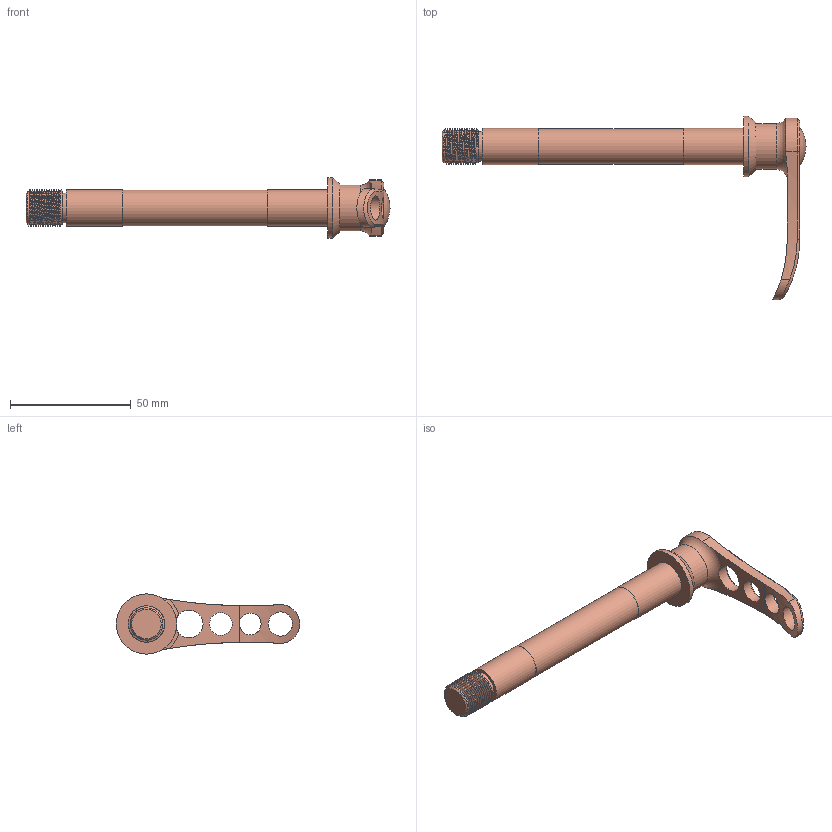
import cadquery as cq
import math


AXLE_R = 7.5
WAIST_R = 7.4
WAIST_START = 40.0
WAIST_END = 100.0

THREAD_PITCH = 1.0
THREAD_DEPTH = 0.8
THREAD_START = 1.1
THREAD_TURNS = 13.5
THREAD_CORE_R = AXLE_R - THREAD_DEPTH
THREAD_CORE_LENGTH = 15.1
CREST_WIDTH = 0.12
ROOT_WIDTH = 0.9
ROOT_OVERLAP = 0.1
END_CHAMFER = 0.6
NECK_R = 6.2
NECK_END = 16.6

FLANGE_R = 12.5
FLANGE_START = 125.0
FLANGE_RIM = 2.0
WASHER_LENGTH = 5.0
WASHER_SMALL_R = 10.0

COLLAR_R = 9.5
COLLAR_START = FLANGE_START + WASHER_LENGTH
HUB_R = 11.65
HUB_FILLET = 4.5
DOME_BASE_R = 8.0

ARM_INNER_X = 143.0
ARM_THICKNESS = 5.15
ARM_OUTER_X = ARM_INNER_X + ARM_THICKNESS
DOME_TOP_X = 150.78
DOME_HEIGHT = DOME_TOP_X - ARM_OUTER_X
ARM_REACH = 63.49
ARM_TIP_R = 8.0
ARM_TIP_Y = ARM_TIP_R - ARM_REACH
WAIST_ARC_R = 200.0
BEND_Y = -38.4
BEND_INNER_R = 56.0
BEND_OUTER_R = 47.0
ARM_CHAMFER = 1.0
ARM_HOLES = [(17.7, 5.75), (30.8, 4.75), (43.0, 4.5), (-ARM_TIP_Y, 5.0)]


def cylinder_x(radius, start, end):
    """Cylinder on the X axis between two X positions."""
    return cq.Workplane("YZ", origin=(start, 0, 0)).circle(radius).extrude(end - start)


def thread_ridge():
    """Right-hand helical ridge around the axle end, sunk slightly into the core."""
    root_r = THREAD_CORE_R - ROOT_OVERLAP
    helix_length = THREAD_TURNS * THREAD_PITCH
    helix = cq.Wire.makeHelix(THREAD_PITCH, helix_length, root_r)
    ridge = (
        cq.Workplane("XZ")
        .moveTo(root_r, ROOT_WIDTH / 2)
        .lineTo(AXLE_R, CREST_WIDTH / 2)
        .lineTo(AXLE_R, -CREST_WIDTH / 2)
        .lineTo(root_r, -ROOT_WIDTH / 2)
        .close()
        .sweep(cq.Workplane(obj=helix), isFrenet=True)
    )
    return ridge.rotate((0, 0, 0), (0, 1, 0), 90).translate((THREAD_START, 0, 0))


def make_axle():
    """Axle with a waisted shank, a relief neck and a threaded free end."""
    axle = (
        cq.Workplane("XZ")
        .moveTo(0, 0)
        .lineTo(0, THREAD_CORE_R - END_CHAMFER)
        .lineTo(END_CHAMFER, THREAD_CORE_R)
        .lineTo(THREAD_CORE_LENGTH, THREAD_CORE_R)
        .lineTo(THREAD_CORE_LENGTH, NECK_R)
        .lineTo(NECK_END, NECK_R)
        .lineTo(NECK_END, AXLE_R)
        .lineTo(WAIST_START, AXLE_R)
        .lineTo(WAIST_START, WAIST_R)
        .lineTo(WAIST_END, WAIST_R)
        .lineTo(WAIST_END, AXLE_R)
        .lineTo(COLLAR_START, AXLE_R)
        .lineTo(COLLAR_START, 0)
        .close()
        .revolve(360, (0, 0, 0), (1, 0, 0))
    )
    return axle.union(thread_ridge())


def make_washer():
    """Washer with a cylindrical rim that tapers towards the lever, bored for the axle."""
    rim_end = FLANGE_START + FLANGE_RIM
    return (
        cq.Workplane("XZ")
        .moveTo(FLANGE_START, AXLE_R)
        .lineTo(FLANGE_START, FLANGE_R)
        .lineTo(rim_end, FLANGE_R)
        .lineTo(COLLAR_START, WASHER_SMALL_R)
        .lineTo(COLLAR_START, AXLE_R)
        .close()
        .revolve(360, (0, 0, 0), (1, 0, 0))
    )


def arm_outline():
    """Lever seen along X, extruded: hub and tip circles joined by tangent concave arcs."""
    hub_gap = WAIST_ARC_R + HUB_R
    tip_gap = WAIST_ARC_R + ARM_TIP_R
    arc_y = (ARM_TIP_Y**2 + hub_gap**2 - tip_gap**2) / (2 * ARM_TIP_Y)
    arc_z = math.sqrt(hub_gap**2 - arc_y**2)
    hub_y = arc_y * HUB_R / hub_gap
    hub_z = arc_z * HUB_R / hub_gap
    tip_y = ARM_TIP_Y + (arc_y - ARM_TIP_Y) * ARM_TIP_R / tip_gap
    tip_z = arc_z * ARM_TIP_R / tip_gap
    narrow_z = arc_z - WAIST_ARC_R
    return (
        cq.Workplane("YZ", origin=(COLLAR_START, 0, 0))
        .moveTo(hub_y, hub_z)
        .threePointArc((arc_y, narrow_z), (tip_y, tip_z))
        .threePointArc((-ARM_REACH, 0), (tip_y, -tip_z))
        .threePointArc((arc_y, -narrow_z), (hub_y, -hub_z))
        .threePointArc((HUB_R, 0), (hub_y, hub_z))
        .close()
        .extrude(ARM_OUTER_X - COLLAR_START)
    )


def bend_point(face_x, radius, run):
    """Point on a bend arc that starts square at BEND_Y and has run the given distance in -Y."""
    drop = radius - math.sqrt(radius**2 - run**2)
    return face_x - drop, BEND_Y - run


def arm_side_profile():
    """Arm seen along Z, extruded: flat near the hub, then bending back towards -X."""
    bend_run = ARM_REACH + BEND_Y
    return (
        cq.Workplane("XY", origin=(0, 0, -HUB_R))
        .moveTo(ARM_INNER_X, HUB_R)
        .lineTo(ARM_INNER_X, BEND_Y)
        .threePointArc(
            bend_point(ARM_INNER_X, BEND_INNER_R, bend_run / 2),
            bend_point(ARM_INNER_X, BEND_INNER_R, bend_run),
        )
        .lineTo(*bend_point(ARM_OUTER_X, BEND_OUTER_R, bend_run))
        .threePointArc(
            bend_point(ARM_OUTER_X, BEND_OUTER_R, bend_run / 2),
            (ARM_OUTER_X, BEND_Y),
        )
        .lineTo(ARM_OUTER_X, HUB_R)
        .close()
        .extrude(2 * HUB_R)
    )


def hub_body():
    """Collar that flares through a concave fillet into the inner face of the arm."""
    fillet_start = ARM_INNER_X - HUB_FILLET
    flare_r = COLLAR_R + HUB_FILLET
    slant = HUB_FILLET * math.sqrt(0.5)
    return (
        cq.Workplane("XZ")
        .moveTo(COLLAR_START, 0)
        .lineTo(COLLAR_START, COLLAR_R)
        .lineTo(fillet_start, COLLAR_R)
        .threePointArc((fillet_start + slant, flare_r - slant), (ARM_INNER_X, flare_r))
        .lineTo(ARM_INNER_X, 0)
        .close()
        .revolve(360, (0, 0, 0), (1, 0, 0))
    )


def dome():
    """Spherical cap on the outer face of the arm, centred on the axle."""
    sphere_r = (DOME_BASE_R**2 + DOME_HEIGHT**2) / (2 * DOME_HEIGHT)
    half_angle = math.asin(DOME_BASE_R / sphere_r) / 2
    mid_x = DOME_TOP_X - sphere_r * (1 - math.cos(half_angle))
    mid_r = sphere_r * math.sin(half_angle)
    return (
        cq.Workplane("XZ")
        .moveTo(ARM_OUTER_X, 0)
        .lineTo(ARM_OUTER_X, DOME_BASE_R)
        .threePointArc((mid_x, mid_r), (DOME_TOP_X, 0))
        .close()
        .revolve(360, (0, 0, 0), (1, 0, 0))
    )


def drill_arm(body):
    """Cut the row of holes through a body, along X."""
    for distance, radius in ARM_HOLES:
        hole = cylinder_x(radius, COLLAR_START, DOME_TOP_X).translate((0, -distance, 0))
        body = body.cut(hole)
    return body


def make_lever():
    """Domed hub and bent, drilled arm, with every edge of the outer face chamfered."""
    outline = arm_outline()
    arm = drill_arm(outline.intersect(arm_side_profile()))
    arm = arm.faces(">X").edges().chamfer(ARM_CHAMFER)
    hub = drill_arm(hub_body().intersect(outline))
    return arm.union(hub).union(dome())


axle = make_axle()
washer = make_washer()
lever = make_lever()

result = cq.Compound.makeCompound([axle.val(), washer.val(), lever.val()])